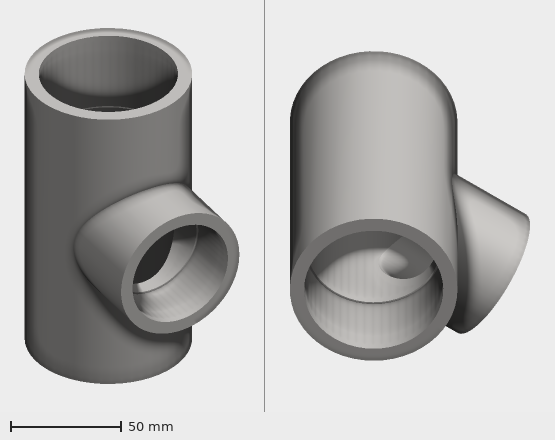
import cadquery as cq

run_length = 143.0
run_diameter = 76.0
run_bore_diameter = 61.0
run_socket_diameter = 63.0
run_socket_depth = 38.0

overall_width = 102.5
branch_reach = overall_width - run_diameter / 2
branch_diameter = 62.0
branch_bore_diameter = 48.0
branch_socket_diameter = 50.0
branch_socket_depth = branch_reach - run_diameter / 2


def run_cylinder(diameter, bottom, length):
    """Vertical cylinder on the run axis."""
    return cq.Workplane("XY").workplane(offset=bottom).circle(diameter / 2).extrude(length)


def branch_cylinder(diameter, start, length):
    """Horizontal cylinder on the branch axis."""
    return cq.Workplane("YZ").workplane(offset=start).circle(diameter / 2).extrude(length)


bottom = -run_length / 2
tee = run_cylinder(run_diameter, bottom, run_length)
tee = tee.union(branch_cylinder(branch_diameter, 0, branch_reach))

tee = tee.cut(run_cylinder(run_bore_diameter, bottom, run_length))
tee = tee.cut(branch_cylinder(branch_bore_diameter, 0, branch_reach))

for socket_bottom in (bottom, run_length / 2 - run_socket_depth):
    tee = tee.cut(run_cylinder(run_socket_diameter, socket_bottom, run_socket_depth))
tee = tee.cut(
    branch_cylinder(branch_socket_diameter, branch_reach - branch_socket_depth, branch_socket_depth)
)

result = tee